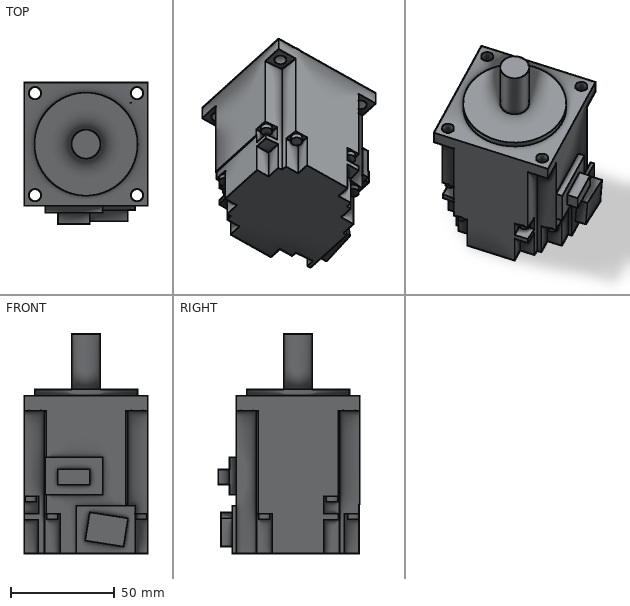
import cadquery as cq
import math


body_width = 60.0
half_width = body_width / 2
flange_top = 76.6
flange_thickness = 7.2
flange_bottom = flange_top - flange_thickness

pilot_diameter = 50.0
pilot_height = 3.0
shaft_diameter = 14.0
shaft_length = 30.0

mount_hole_diameter = 5.8
mount_circle_diameter = 70.0
mount_hole_spacing = mount_circle_diameter / math.sqrt(2)

notch_root = 20.2
notch_mouth = 19.4

cover_top = 23.9
cover_step = 0.4

pocket_inner_edge = 12.5
pocket_depth_x = 6.95
pocket_depth_y = 7.6
body_pocket_depth = 7.05
ledge_bottom = 16.4
ledge_top = 19.3
cover_pocket_top = ledge_top
body_pocket_top = 27.8

screw_head_diameter = 5.5
screw_head_height = 2.7
screw_along_face = 16.4
screw_from_axis = 26.8

upper_base_x = (-19.8, 8.05)
upper_base_z = (28.5, 46.8)
upper_base_depth = 3.3
upper_plug_x = (-13.6, 1.9)
upper_plug_z = (33.5, 40.9)
upper_plug_depth = 8.8

lower_base_x = (-4.7, 23.8)
lower_base_z = (0.0, 23.25)
lower_base_depth = 2.0
lower_plug_width = 18.8
lower_plug_height = 13.9
lower_plug_center = (10.0, 11.7)
lower_plug_tilt = 9.0
lower_plug_depth = 7.5


def box_between(x_range, y_range, z_range):
    """Box filling the given X, Y and Z ranges."""
    size = [high - low for low, high in (x_range, y_range, z_range)]
    corner = (x_range[0], y_range[0], z_range[0])
    return cq.Workplane("XY").box(*size, centered=False).translate(corner)


def turned(shape, quarter_turns):
    """Shape turned clockwise, seen from above, by quarter turns about the body axis."""
    return shape.rotate((0, 0, 0), (0, 0, 1), -90 * quarter_turns)


def make_body():
    """Square body with the set-in cover, the pilot, the shaft and the mounting holes."""
    body = cq.Workplane("XY").rect(body_width, body_width).extrude(flange_top)
    step = box_between(
        (-half_width, half_width), (half_width - cover_step, half_width), (0, cover_top)
    )
    top = cq.Workplane("XY").workplane(offset=flange_top)
    holes = (
        top.rect(mount_hole_spacing, mount_hole_spacing, forConstruction=True)
        .vertices()
        .circle(mount_hole_diameter / 2)
        .extrude(-flange_thickness)
    )
    pilot = top.circle(pilot_diameter / 2).extrude(pilot_height)
    shaft = top.circle(shaft_diameter / 2).extrude(shaft_length)
    return body.cut(step).cut(holes).union(pilot).union(shaft)


def corner_notch():
    """Notch in the (-X, -Y) corner, from the bottom up to the flange."""
    outline = [
        (-half_width, -half_width),
        (-notch_mouth, -half_width),
        (-notch_root, -notch_root),
        (-half_width, -notch_mouth),
    ]
    return cq.Workplane("XY").polyline(outline).close().extrude(flange_bottom)


def pocket_on_front(side, depth, z_range):
    """Pocket in the -Y face, running into the notch on the given side (-1 or +1 along X)."""
    x_range = sorted((side * pocket_inner_edge, side * half_width))
    return box_between(x_range, (-half_width, depth - half_width), z_range)


def screw_on_front(side, ceiling):
    """Screw head below a pocket ceiling at the -Y face."""
    return (
        cq.Workplane("XY")
        .workplane(offset=ceiling)
        .center(side * screw_along_face, -screw_from_axis)
        .circle(screw_head_diameter / 2)
        .extrude(-screw_head_height)
    )


def pocket_depth(quarter_turns):
    """Pocket depth on the face reached from -Y by the given quarter turns."""
    return pocket_depth_y if quarter_turns % 2 == 0 else pocket_depth_x


def add_cover_screws(body):
    """One full-height cover pocket with its screw head on every face."""
    for turn in range(4):
        pocket = pocket_on_front(-1, pocket_depth(turn), (0, cover_pocket_top))
        body = body.cut(turned(pocket, turn))
        body = body.union(turned(screw_on_front(-1, cover_pocket_top), turn))
    return body


def add_body_screws(body):
    """Higher pockets with a ledge below them, on every face but the connector face."""
    for turn in range(1, 4):
        lower_pocket = pocket_on_front(1, pocket_depth(turn), (0, ledge_bottom))
        upper_pocket = pocket_on_front(1, body_pocket_depth, (ledge_top, body_pocket_top))
        body = body.cut(turned(lower_pocket, turn)).cut(turned(upper_pocket, turn))
        body = body.union(turned(screw_on_front(1, body_pocket_top), turn))
    return body


def front_block(x_range, z_range, depth):
    """Block standing out from the -Y face."""
    return box_between(x_range, (-half_width - depth, -half_width), z_range)


def make_upper_connector():
    """Connector base with a straight plug."""
    base = front_block(upper_base_x, upper_base_z, upper_base_depth)
    return base.union(front_block(upper_plug_x, upper_plug_z, upper_plug_depth))


def make_lower_connector():
    """Connector base with a tilted plug."""
    base = front_block(lower_base_x, lower_base_z, lower_base_depth)
    plug = (
        cq.Workplane("XZ", origin=(0, -half_width, 0))
        .center(*lower_plug_center)
        .transformed(rotate=(0, 0, -lower_plug_tilt))
        .rect(lower_plug_width, lower_plug_height)
        .extrude(lower_plug_depth)
    )
    return base.union(plug)


motor = make_body()
for corner in range(4):
    motor = motor.cut(turned(corner_notch(), corner))
motor = add_cover_screws(motor)
motor = add_body_screws(motor)
result = motor.union(make_upper_connector()).union(make_lower_connector())